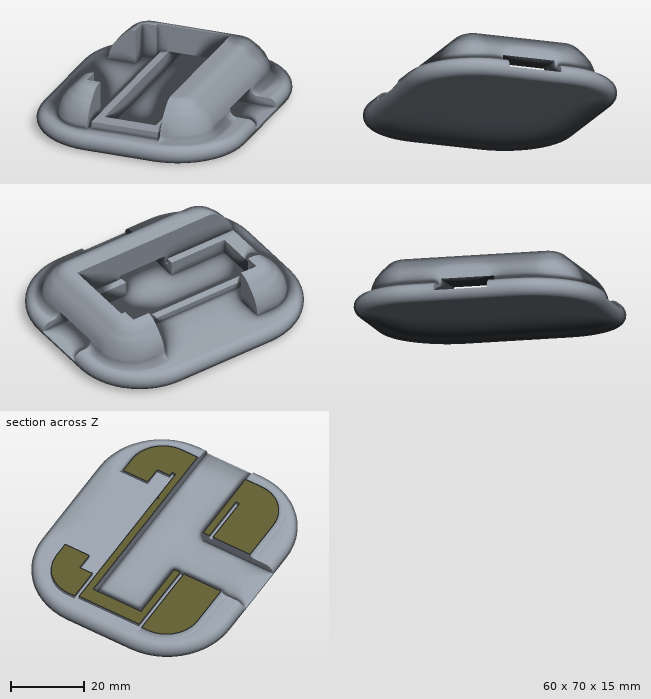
import cadquery as cq
import math

WIDTH = 60.0
LENGTH = 70.0
HEIGHT = 15.0
BASE_TOP = HEIGHT / 3
BASE_CORNER = 20.0
RIM = BASE_TOP / 2
RIM_GAP = 0.01

AXIS_X = 12.7
AXIS_Y = 20.0
SIDE_RADIUS = 9.4
SIDE_CENTER = 0.5
SHOULDER_RADIUS = 5.1
FLARE_RADIUS = 1.95

BAY_HALF_WIDTH = 10.65
BAY_BACK = 21.55
ROOM_LEFT = -14.6
ROOM_HALF_LENGTH = 20.3
SIDE_OPENING = 30.5

TRAY_WIDTH = 19.3
TRAY_FRONT = -29.3
TRAY_HEIGHT = 2.0
CHANNEL_WIDTH = 15.1
CHANNEL_FRONT = -25.0
CHANNEL_FLOOR = RIM
CHANNEL_TOP = 7.3

DIAGONAL = math.sqrt(0.5)


def block(x_min, x_max, y_min, y_max, z_min, z_max):
    size = (x_max - x_min, y_max - y_min, z_max - z_min)
    return cq.Workplane("XY").box(*size, centered=False).translate((x_min, y_min, z_min))


def make_base():
    plate = cq.Workplane("XY").rect(WIDTH, LENGTH).extrude(BASE_TOP)
    plate = plate.edges("|Z").fillet(BASE_CORNER)
    return plate.faces("<Z or >Z").edges().fillet(RIM - RIM_GAP)


def dome_section(plane, half_span, flared):
    """Half section from the dome's middle out to half_span plus the curved side."""
    center = half_span + SIDE_CENTER

    def on_side(angle):
        return (center + SIDE_RADIUS * math.cos(angle), BASE_TOP + SIDE_RADIUS * math.sin(angle))

    slope_end = on_side(math.pi / 4)
    shoulder_z = HEIGHT - SHOULDER_RADIUS
    slope_top_z = shoulder_z + SHOULDER_RADIUS * DIAGONAL
    slope_top_x = slope_end[0] - (slope_top_z - slope_end[1])
    shoulder_x = slope_top_x - SHOULDER_RADIUS * DIAGONAL
    shoulder_mid = (
        shoulder_x + SHOULDER_RADIUS * math.sin(math.pi / 8),
        shoulder_z + SHOULDER_RADIUS * math.cos(math.pi / 8),
    )
    flare_angle = math.asin(FLARE_RADIUS / (SIDE_RADIUS + FLARE_RADIUS)) if flared else 0.0
    section = (
        cq.Workplane(plane)
        .moveTo(0, RIM)
        .lineTo(0, HEIGHT)
        .lineTo(shoulder_x, HEIGHT)
        .threePointArc(shoulder_mid, (slope_top_x, slope_top_z))
        .lineTo(*slope_end)
        .threePointArc(on_side((math.pi / 4 + flare_angle) / 2), on_side(flare_angle))
    )
    if flared:
        flare_x = center + (SIDE_RADIUS + FLARE_RADIUS) * math.cos(flare_angle)
        flare_z = BASE_TOP + FLARE_RADIUS
        mid_angle = (math.pi + flare_angle + 3 * math.pi / 2) / 2
        flare_mid = (
            flare_x + FLARE_RADIUS * math.cos(mid_angle),
            flare_z + FLARE_RADIUS * math.sin(mid_angle),
        )
        section = section.threePointArc(flare_mid, (flare_x, BASE_TOP))
    foot_x = flare_x if flared else center + SIDE_RADIUS
    return section.lineTo(foot_x, RIM).close()


def dome_quarter(sign_x, sign_y, flared):
    """One quarter of the dome: two straight runs meeting at a revolved corner."""
    along_y = dome_section("XZ", AXIS_X, flared).extrude(-AXIS_Y)
    along_x = dome_section("YZ", AXIS_Y, flared).extrude(AXIS_X)
    corner = dome_section("XZ", 0, flared).revolve(360, (0, 0, 0), (0, 1, 0))
    quarter = along_y.union(along_x).union(corner.translate((AXIS_X, AXIS_Y, 0)))
    quarter = quarter.intersect(block(0, WIDTH, 0, LENGTH, 0, HEIGHT))
    if sign_x < 0:
        quarter = quarter.mirror("YZ")
    if sign_y < 0:
        quarter = quarter.mirror("XZ")
    return quarter


def make_dome():
    dome = dome_quarter(1, 1, True)
    for sign_x, sign_y in ((-1, 1), (1, -1), (-1, -1)):
        flared = sign_x > 0 or sign_y > 0
        dome = dome.union(dome_quarter(sign_x, sign_y, flared))
    return dome


def make_cavity():
    bay = block(-BAY_HALF_WIDTH, BAY_HALF_WIDTH, -LENGTH / 2, BAY_BACK, BASE_TOP, HEIGHT)
    room = block(ROOM_LEFT, BAY_HALF_WIDTH, -ROOM_HALF_LENGTH, ROOM_HALF_LENGTH, BASE_TOP, HEIGHT)
    side = block(-WIDTH / 2, 0, -SIDE_OPENING / 2, SIDE_OPENING / 2, BASE_TOP, HEIGHT)
    return bay.union(room).union(side)


def make_tray():
    return block(-TRAY_WIDTH / 2, TRAY_WIDTH / 2, TRAY_FRONT, BAY_BACK, RIM, BASE_TOP + TRAY_HEIGHT)


def make_channel():
    half = CHANNEL_WIDTH / 2
    lengthwise = block(-half, half, CHANNEL_FRONT, LENGTH / 2, CHANNEL_FLOOR, CHANNEL_TOP)
    sideways = block(0, WIDTH / 2, -half, half, CHANNEL_FLOOR, CHANNEL_TOP)
    return lengthwise.union(sideways)


shell = make_base().union(make_dome()).cut(make_cavity())
result = shell.union(make_tray()).cut(make_channel())